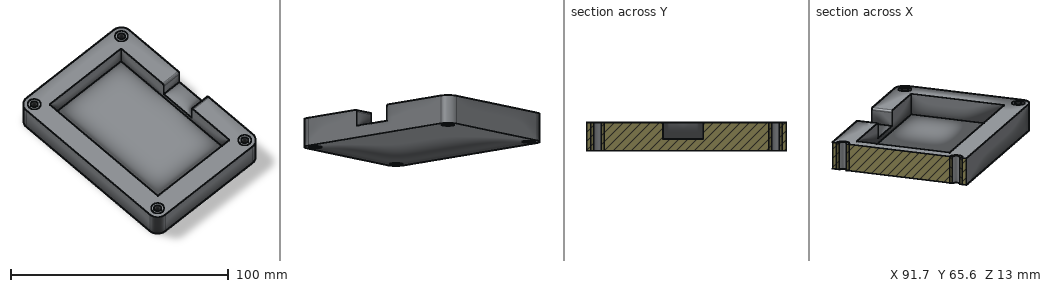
import cadquery as cq

length = 91.7
width = 65.6
height = 13.0
corner_radius = 5.0

wall = 10.0
pocket_depth = 10.0

notch_center_x = 1.6
notch_width = 18.3
notch_depth = 7.5
notch_edge_radius = 1.0

sleeve_diameter = 6.0
bore_diameter = 3.4
sleeve_spacing_x = length - 2 * corner_radius
sleeve_spacing_y = width - 2 * corner_radius
sleeve_centers = [
    (side_x * sleeve_spacing_x / 2, side_y * sleeve_spacing_y / 2)
    for side_x in (-1, 1)
    for side_y in (-1, 1)
]


def make_pocket():
    """Rectangular pocket, open at the top."""
    return (
        cq.Workplane("XY")
        .workplane(offset=height - pocket_depth)
        .rect(length - 2 * wall, width - 2 * wall)
        .extrude(pocket_depth)
    )


def make_notch():
    """Notch from the pocket to the +Y face, flaring out to rounded top edges."""
    half_width = notch_width / 2
    half_opening = half_width + notch_edge_radius
    floor_z = height - notch_depth
    edge_z = height - notch_edge_radius
    return (
        cq.Workplane("XZ", origin=(notch_center_x, width / 2, 0))
        .moveTo(-half_width, floor_z)
        .lineTo(half_width, floor_z)
        .lineTo(half_width, edge_z)
        .radiusArc((half_opening, height), notch_edge_radius)
        .lineTo(-half_opening, height)
        .radiusArc((-half_width, edge_z), notch_edge_radius)
        .close()
        .extrude(wall)
    )


def make_tray():
    """Rounded block with the pocket, the notch and four sleeve seats."""
    block = (
        cq.Workplane("XY")
        .rect(length, width)
        .extrude(height)
        .edges("|Z")
        .fillet(corner_radius)
    )
    sleeve_seats = (
        cq.Workplane("XY")
        .pushPoints(sleeve_centers)
        .circle(sleeve_diameter / 2)
        .extrude(height)
    )
    return block.cut(make_pocket()).cut(make_notch()).cut(sleeve_seats)


def make_sleeve(center):
    """Full-height sleeve with a through bore."""
    return (
        cq.Workplane("XY")
        .center(*center)
        .circle(sleeve_diameter / 2)
        .circle(bore_diameter / 2)
        .extrude(height)
    )


tray = make_tray().solids()
sleeves = [make_sleeve(center) for center in sleeve_centers]

result = cq.Compound.makeCompound([tray.val(), *[sleeve.val() for sleeve in sleeves]])